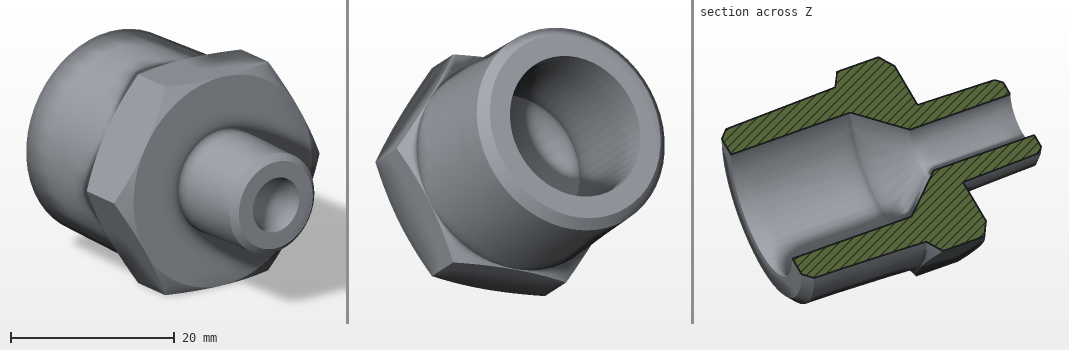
import cadquery as cq
import math

total_length = 35.0
hex_start = 16.0
hex_end = 24.0

across_flats = 27.0
across_corners = across_flats / math.cos(math.radians(30))
hex_chamfer_angle = 30.0

radius_per_length = 1 / 32
large_gauge_radius = 13.23
large_gauge_length = 9.52
large_chamfer_length = 1.15
large_face_radius = 11.75
small_gauge_radius = 6.58
small_gauge_length = 6.0
small_chamfer_length = 0.8
small_face_radius = 5.6

large_bore_radius = 9.0
small_bore_radius = 3.5
large_bore_depth = hex_start
bore_cone_half_angle = 45.0


def revolve_about_x(points):
    """Turn a closed (x, radius) outline around the X axis."""
    return cq.Workplane("XY").polyline(points).close().revolve(360, (0, 0, 0), (1, 0, 0))


def tapered_stub(length, gauge_radius, gauge_length, chamfer_length, face_radius):
    """Conical stub with its chamfered free end at x = 0, widening toward +X."""

    def radius_at(x):
        return gauge_radius + (x - gauge_length) * radius_per_length

    return revolve_about_x([
        (0, 0),
        (0, face_radius),
        (chamfer_length, radius_at(chamfer_length)),
        (length, radius_at(length)),
        (length, 0),
    ])


def chamfered_hexagon():
    """Hexagon with flats facing +Z and -Z and conically turned corners."""
    face_radius = across_flats / 2
    corner_radius = across_corners / 2
    chamfer_length = (corner_radius - face_radius) * math.tan(math.radians(hex_chamfer_angle))
    prism = (
        cq.Workplane("YZ", origin=(hex_start, 0, 0))
        .polygon(6, across_corners)
        .extrude(hex_end - hex_start)
    )
    envelope = revolve_about_x([
        (hex_start, 0),
        (hex_start, face_radius),
        (hex_start + chamfer_length, corner_radius),
        (hex_end - chamfer_length, corner_radius),
        (hex_end, face_radius),
        (hex_end, 0),
    ])
    return prism.intersect(envelope)


def stepped_bore():
    """Wide bore from x = 0, narrowing through a cone to the small through bore."""
    cone_length = (large_bore_radius - small_bore_radius) / math.tan(math.radians(bore_cone_half_angle))
    return revolve_about_x([
        (0, 0),
        (0, large_bore_radius),
        (large_bore_depth, large_bore_radius),
        (large_bore_depth + cone_length, small_bore_radius),
        (total_length, small_bore_radius),
        (total_length, 0),
    ])


large_stub = tapered_stub(
    hex_start, large_gauge_radius, large_gauge_length, large_chamfer_length, large_face_radius
)
small_stub = (
    tapered_stub(
        total_length - hex_end,
        small_gauge_radius,
        small_gauge_length,
        small_chamfer_length,
        small_face_radius,
    )
    .mirror("YZ")
    .translate((total_length, 0, 0))
)

result = chamfered_hexagon().union(large_stub).union(small_stub).cut(stepped_bore())